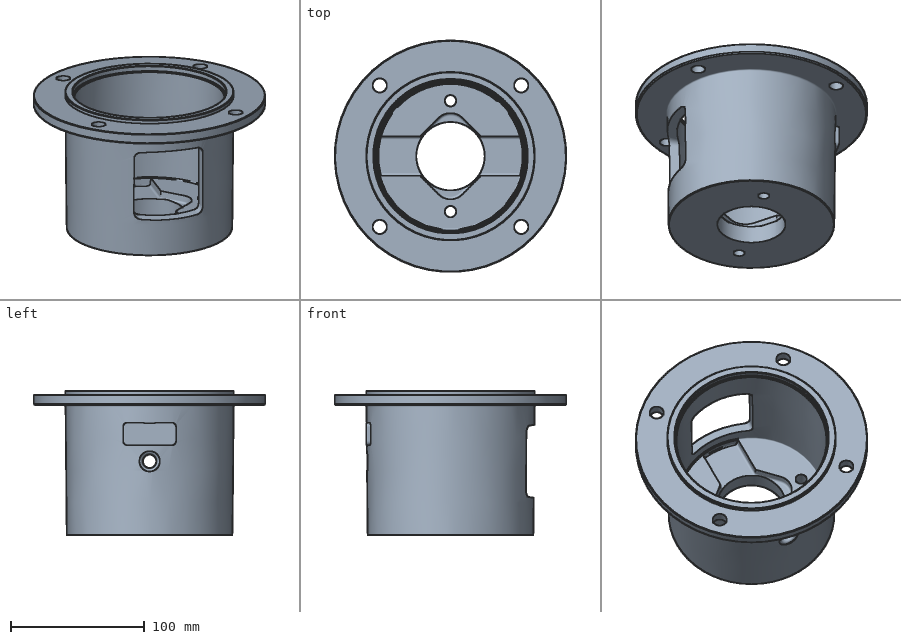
import cadquery as cq
import math

total_height = 108.0
spigot_height = 3.0
flange_top = total_height - spigot_height
flange_thickness = 8.0
flange_bottom = flange_top - flange_thickness

flange_radius = 86.5
flange_top_chamfer = 0.5
flange_bottom_chamfer = 1.0
spigot_radius = 63.0
spigot_chamfer = 0.5
body_top_radius = 62.8
body_bottom_radius = 62.0
body_middle_radius = (body_top_radius + body_bottom_radius) / 2
neck_fillet = 1.0
bottom_chamfer = 0.5

rim_radius = 57.3
rim_chamfer = 0.5
rim_depth = 4.0
cavity_top_radius = 55.9
cavity_lip_chamfer = 0.7
cavity_floor_radius = 54.7
cavity_floor_fillet = 0.9
cavity_floor = 20.0

recess_depth = 6.0
recess_bottom = cavity_floor - recess_depth
recess_draft = 6
recess_fillet = 1.7
channel_half_width = 14.7
diamond_reach = 37.4
diamond_corner_radius = 12.5

pilot_radius = 25.5
pump_hole_radius = 4.2
pump_hole_offset = 41.3
mount_hole_radius = 5.2
mount_hole_spacing = 105.5

window_width = 53.0
window_draft = 9
window_bottom = 29.0
window_top = 81.5
window_height = window_top - window_bottom
window_corner_radius = 4.8
window_center = (window_bottom + window_top) / 2
sight_hole_inner_radius = 4.8
sight_hole_outer_radius = 5.7
sight_hole_flare = 1.9

pad_width = 39.5
pad_bottom = 67.3
pad_height = 16.8
pad_face_x = -63.0
pad_depth = 5.2
pad_corner_radius = 3.1
pad_edge_fillet = 1.0


def turned_solid():
    """Body, flange and spigot as one revolved solid."""
    neck_z = flange_bottom - neck_fillet
    neck_radius = body_top_radius + neck_fillet
    diagonal = neck_fillet * (1 - math.sqrt(0.5))
    return (
        cq.Workplane("YZ")
        .lineTo(body_bottom_radius - bottom_chamfer, 0)
        .lineTo(body_bottom_radius, bottom_chamfer)
        .lineTo(body_top_radius, neck_z)
        .threePointArc((body_top_radius + diagonal, flange_bottom - diagonal), (neck_radius, flange_bottom))
        .lineTo(flange_radius - flange_bottom_chamfer, flange_bottom)
        .lineTo(flange_radius, flange_bottom + flange_bottom_chamfer)
        .lineTo(flange_radius, flange_top - flange_top_chamfer)
        .lineTo(flange_radius - flange_top_chamfer, flange_top)
        .lineTo(spigot_radius, flange_top)
        .lineTo(spigot_radius, total_height - spigot_chamfer)
        .lineTo(spigot_radius - spigot_chamfer, total_height)
        .lineTo(0, total_height)
        .close()
        .revolve(360, (0, 0), (0, 1))
    )


def drafted_bore(floor_z):
    """Cavity down to floor_z, its wall keeping the same draft."""
    step_z = total_height - rim_depth
    wall_top = step_z - cavity_lip_chamfer
    slope = (cavity_top_radius - cavity_floor_radius) / (wall_top - cavity_floor)
    floor_radius = cavity_top_radius - slope * (wall_top - floor_z)
    bore = (
        cq.Workplane("YZ")
        .moveTo(0, floor_z)
        .lineTo(floor_radius, floor_z)
        .lineTo(cavity_top_radius, wall_top)
        .lineTo(cavity_top_radius + cavity_lip_chamfer, step_z)
        .lineTo(rim_radius, step_z)
        .lineTo(rim_radius, total_height - rim_chamfer)
        .lineTo(rim_radius + rim_chamfer, total_height)
        .lineTo(0, total_height)
        .close()
        .revolve(360, (0, 0), (0, 1))
    )
    return bore.faces("<Z").edges().fillet(cavity_floor_fillet)


def floor_recess():
    """Channel and diamond, drafted, ending at the cavity wall and rounded along the bottom."""
    tangent_x = diamond_corner_radius * math.sqrt(0.5)
    tangent_y = diamond_reach - tangent_x
    peak_y = diamond_reach - diamond_corner_radius * (math.sqrt(2) - 1)
    knee_x = diamond_reach - channel_half_width
    end_x = 1.2 * cavity_top_radius
    outline = (
        cq.Workplane("XY", origin=(0, 0, cavity_floor))
        .moveTo(-end_x, channel_half_width)
        .lineTo(-knee_x, channel_half_width)
        .lineTo(-tangent_x, tangent_y)
        .threePointArc((0, peak_y), (tangent_x, tangent_y))
        .lineTo(knee_x, channel_half_width)
        .lineTo(end_x, channel_half_width)
        .lineTo(end_x, -channel_half_width)
        .lineTo(knee_x, -channel_half_width)
        .lineTo(tangent_x, -tangent_y)
        .threePointArc((0, -peak_y), (-tangent_x, -tangent_y))
        .lineTo(-knee_x, -channel_half_width)
        .lineTo(-end_x, -channel_half_width)
        .close()
    )
    recess = outline.extrude(-recess_depth, taper=recess_draft)
    return recess.faces("<Z").edges().fillet(recess_fillet).intersect(drafted_bore(recess_bottom))


def vertical_holes():
    """Pilot bore and pump screw holes in the floor, mounting holes in the flange."""
    plane = cq.Workplane("XY")
    pilot = plane.circle(pilot_radius).extrude(total_height)
    pump_holes = (
        plane.pushPoints([(0, pump_hole_offset), (0, -pump_hole_offset)])
        .circle(pump_hole_radius)
        .extrude(total_height)
    )
    mount_holes = (
        plane.rect(mount_hole_spacing, mount_hole_spacing, forConstruction=True)
        .vertices()
        .circle(mount_hole_radius)
        .extrude(total_height)
    )
    return pilot.union(pump_holes).union(mount_holes)


def window():
    """Round-cornered opening through the +X wall, narrowing inward from its mouth."""
    half_width = window_width / 2
    mouth_x = math.sqrt(body_middle_radius**2 - half_width**2)
    inner_x = mouth_x / 2
    inset = (mouth_x - inner_x) * math.tan(math.radians(window_draft))
    opening = cq.Sketch().rect(window_width - 2 * inset, window_height - 2 * inset)
    opening = opening.vertices().fillet(window_corner_radius - inset)
    return (
        cq.Workplane("YZ", origin=(inner_x, 0, window_center))
        .placeSketch(opening)
        .extrude(flange_radius - inner_x, taper=-window_draft)
    )


def sight_hole():
    """Hole through the -X wall, narrowing inward, with a flared mouth reaching the wall on both sides."""
    flare_radius = sight_hole_outer_radius + sight_hole_flare
    mouth_x = math.sqrt(body_middle_radius**2 - flare_radius**2)
    flare_x = mouth_x - sight_hole_flare
    diagonal = sight_hole_flare * (1 - math.sqrt(0.5))
    return (
        cq.Workplane("XY")
        .moveTo(-cavity_floor_radius, 0)
        .lineTo(-cavity_floor_radius, sight_hole_inner_radius)
        .lineTo(-flare_x, sight_hole_outer_radius)
        .threePointArc((diagonal - mouth_x, sight_hole_outer_radius + diagonal), (-mouth_x, flare_radius))
        .lineTo(-flange_radius, flare_radius)
        .lineTo(-flange_radius, 0)
        .close()
        .revolve(360, (0, 0), (1, 0))
        .translate((0, 0, window_center))
    )


def nameplate_pad():
    """Flat pad standing on the -X wall, its outer edges rounded."""
    return (
        cq.Workplane("YZ", origin=(pad_face_x, 0, pad_bottom + pad_height / 2))
        .rect(pad_width, pad_height)
        .extrude(pad_depth)
        .edges("|X")
        .fillet(pad_corner_radius)
        .faces("<X")
        .edges()
        .fillet(pad_edge_fillet)
    )


result = (
    turned_solid()
    .union(nameplate_pad())
    .cut(drafted_bore(cavity_floor))
    .cut(floor_recess())
    .cut(vertical_holes())
    .cut(window())
    .cut(sight_hole())
)